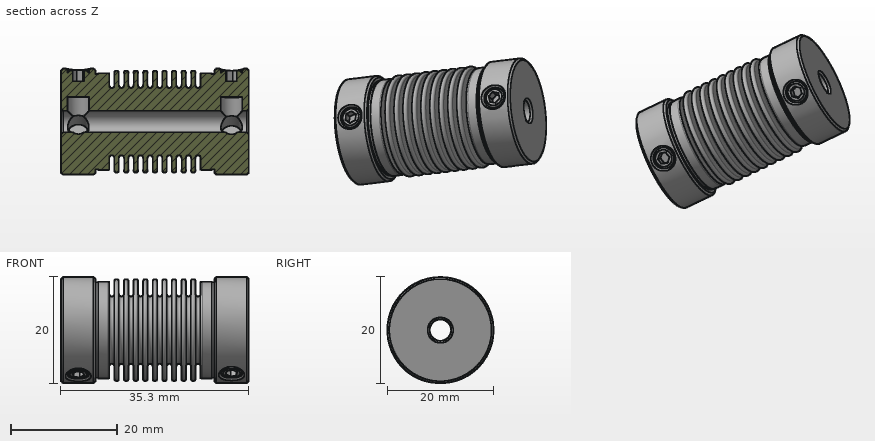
import cadquery as cq
import math


length = 35.3
hub_radius = 10.0
hub_width = 6.5
hub_chamfer = 0.4
bore_radius = 2.0
bore_chamfer = 0.4

neck_radius = 9.0
collar_radius = 9.13
collar_width = 2.1
collar_chamfer = 0.33
collar_chamfer_drop = 0.1

fin_count = 9
fin_pitch = 1.8
fin_radius = 9.6
groove_radius = 6.35

hole_radius = 2.0
hole_mouth_chamfer = 0.4
screw_head_radius = 9.6
screw_length = 5.0
screw_chamfer = 0.4
socket_sides = 6
socket_width = 2.0
socket_depth = 2.0
left_screw_angles = (0.0, 240.0)
right_hub_turn = 57.4
left_socket_turn = 13.5
right_socket_turn = -9.0

half_length = length / 2
hub_inner_x = half_length - hub_width
tip_round = fin_pitch / 4
collar_inner_x = fin_count * fin_pitch / 2 + tip_round
collar_outer_x = collar_inner_x + collar_width
screw_x = half_length - hub_width / 2
screw_tip_radius = screw_head_radius - screw_length
socket_half_angle = 180.0 / socket_sides
right_screw_angles = tuple(180.0 - angle + right_hub_turn for angle in left_screw_angles)


def body():
    """Revolved hubs, necks, collars and bellows, without the bore."""
    groove_wall_radius = groove_radius + tip_round
    fin_wall_radius = fin_radius - tip_round
    collar_corner_radius = collar_radius - collar_chamfer_drop
    profile = (
        cq.Workplane("XY")
        .moveTo(-half_length, 0)
        .lineTo(-half_length, hub_radius - hub_chamfer)
        .lineTo(-half_length + hub_chamfer, hub_radius)
        .lineTo(-hub_inner_x - hub_chamfer, hub_radius)
        .lineTo(-hub_inner_x, hub_radius - hub_chamfer)
        .lineTo(-hub_inner_x, neck_radius)
        .lineTo(-collar_outer_x, neck_radius)
        .lineTo(-collar_outer_x, collar_radius)
        .lineTo(-collar_inner_x - collar_chamfer, collar_radius)
        .lineTo(-collar_inner_x, collar_corner_radius)
        .lineTo(-collar_inner_x, groove_wall_radius)
    )
    groove_x = -fin_count * fin_pitch / 2
    for _ in range(fin_count):
        fin_x = groove_x + fin_pitch / 2
        profile = (
            profile
            .threePointArc((groove_x, groove_radius), (groove_x + tip_round, groove_wall_radius))
            .lineTo(fin_x - tip_round, fin_wall_radius)
            .threePointArc((fin_x, fin_radius), (fin_x + tip_round, fin_wall_radius))
            .lineTo(fin_x + tip_round, groove_wall_radius)
        )
        groove_x += fin_pitch
    profile = (
        profile
        .threePointArc((groove_x, groove_radius), (collar_inner_x, groove_wall_radius))
        .lineTo(collar_inner_x, collar_corner_radius)
        .lineTo(collar_inner_x + collar_chamfer, collar_radius)
        .lineTo(collar_outer_x, collar_radius)
        .lineTo(collar_outer_x, neck_radius)
        .lineTo(hub_inner_x, neck_radius)
        .lineTo(hub_inner_x, hub_radius - hub_chamfer)
        .lineTo(hub_inner_x + hub_chamfer, hub_radius)
        .lineTo(half_length - hub_chamfer, hub_radius)
        .lineTo(half_length, hub_radius - hub_chamfer)
        .lineTo(half_length, 0)
        .close()
    )
    return profile.revolve(360, (0, 0, 0), (1, 0, 0)).rotate((0, 0, 0), (1, 0, 0), 90)


def bore():
    """Through bore with a countersink at each end."""
    mouth_radius = bore_radius + bore_chamfer
    return (
        cq.Workplane("XY")
        .moveTo(-half_length, 0)
        .lineTo(-half_length, mouth_radius)
        .lineTo(-half_length + bore_chamfer, bore_radius)
        .lineTo(half_length - bore_chamfer, bore_radius)
        .lineTo(half_length, mouth_radius)
        .lineTo(half_length, 0)
        .close()
        .revolve(360, (0, 0, 0), (1, 0, 0))
    )


def screw_voids(x, angle, socket_turn):
    """Open space around one set screw; angle is measured from +Y towards +Z."""
    shoulder = screw_head_radius - screw_chamfer
    above_head = (
        cq.Workplane("XY")
        .moveTo(0, screw_head_radius)
        .lineTo(hole_radius - screw_chamfer, screw_head_radius)
        .lineTo(hole_radius, shoulder)
        .lineTo(hole_radius, hub_radius)
        .lineTo(0, hub_radius)
        .close()
        .revolve(360, (0, 0, 0), (0, 1, 0))
    )
    below_tip = cq.Workplane("XZ").circle(hole_radius).extrude(-screw_tip_radius)
    socket = (
        cq.Workplane("XZ", origin=(0, screw_head_radius, 0))
        .polygon(socket_sides, socket_width / math.cos(math.radians(socket_half_angle)))
        .extrude(socket_depth)
        .rotate((0, 0, 0), (0, 1, 0), socket_turn + socket_half_angle)
    )
    voids = above_head.union(socket).union(below_tip)
    return voids.rotate((0, 0, 0), (1, 0, 0), angle).translate((x, 0, 0))


def add_screw(part, x, angle, socket_turn):
    """Cut the voids of one set screw and chamfer the mouth of its hole."""
    mouth_y = hub_radius * math.cos(math.radians(angle))
    mouth_z = hub_radius * math.sin(math.radians(angle))
    drilled = part.cut(screw_voids(x, angle, socket_turn))
    mouth_edge = drilled.edges(cq.NearestToPointSelector((x, mouth_y, mouth_z)))
    return mouth_edge.chamfer(hole_mouth_chamfer)


result = body().cut(bore())
for screw_angle in left_screw_angles:
    result = add_screw(result, -screw_x, screw_angle, left_socket_turn)
for screw_angle in right_screw_angles:
    result = add_screw(result, screw_x, screw_angle, right_socket_turn)